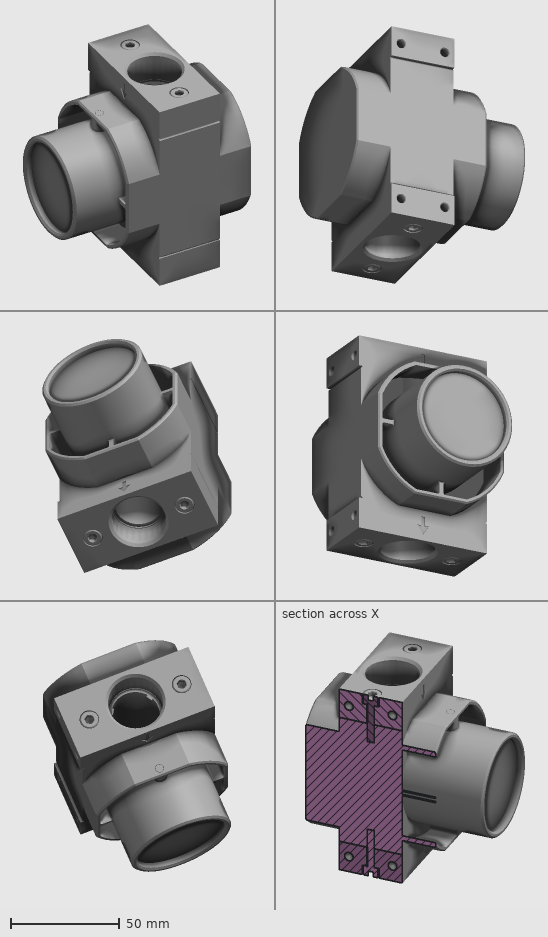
import cadquery as cq
import math

BODY_SIZE = 66.0
BODY_DIAMETER = 71.4
BLOCK_WIDTH = 32.0
BLOCK_CHAMFER = 1.0
EDGE_CHAMFER = 0.8
HALF = BODY_SIZE / 2
BLOCK_FACE = BLOCK_WIDTH / 2

WALL = 2.0
TUBE_DIAMETER = 39.0
RIB_WIDTH = 2.0
RIB_FILLET = 1.0

BOSS_DIAMETER = 7.3
PIN_DIAMETER = 3.8
PIN_HOLE_DIAMETER = 4.1
PIN_Y = -29.3

BORE_DIAMETER = 22.5
SEAL_DIAMETER = 34.0
SEAL_DEPTH = 1.0
TAB_COUNT = 3
TAB_WIDTH = 3.1
TAB_THICKNESS = 1.0
TAB_TIP_RADIUS = 10.3
TAB_FIRST_ANGLE = 30

TOTAL_HEIGHT = 96
FLANGE_OVERHANG = 1.1
FLANGE_THICKNESS = (TOTAL_HEIGHT - BODY_SIZE) / 2
FLANGE_LENGTH = BODY_SIZE + FLANGE_OVERHANG
FLANGE_CENTER_X = -FLANGE_OVERHANG / 2
TOP = TOTAL_HEIGHT / 2
PORT_CHAMFER_DIAMETER = 27.8
PORT_DIAMETER = 25.3
PORT_END_DIAMETER = 24.9
PORT_LIP_DIAMETER = 24.3
PORT_LIP_HEIGHT = 1.0
PORT_CHAMFER_DEPTH = (PORT_CHAMFER_DIAMETER - PORT_DIAMETER) / 2
SIDE_HOLE_DIAMETER = 4.1
SIDE_HOLE_MOUTH = 5.0
SIDE_HOLE_DEPTH = 9.6
SIDE_HOLE_Y = 11.0
SIDE_HOLE_Z = 39.9
ARROW_DEPTH = 0.5
ARROW_LENGTH = 8.9
ARROW_TOP_GAP = 3.2
ARROW_HEAD_LENGTH = 4.5
ARROW_HEAD_WIDTH = 6.0
ARROW_SHAFT_WIDTH = 1.8

SCREW_X = 23.0
SCREW_DIAMETER = 5.0
CLEARANCE_DIAMETER = 5.3
HEAD_DIAMETER = 8.5
HEAD_HEIGHT = 5.0
HEAD_CHAMFER = 0.5
COUNTERBORE_DIAMETER = 9.0
THREAD_LENGTH = 9.6
SOCKET_ACROSS_FLATS = 4.0
SOCKET_ACROSS_CORNERS = SOCKET_ACROSS_FLATS / math.cos(math.radians(30))
SOCKET_DEPTH = 2.5

BARREL_DIAMETER = 50.0
BARREL_PROJECTION = 23.3
BARREL_CHAMFER = 1.0
RIM_DIAMETER = 45.8
RECESS_DIAMETER = 44.0
RECESS_DEPTH = 3.5

DRILL_POINT_ANGLE = 118


def y_cylinder(diameter, y_from, y_to):
    """Cylinder about the Y axis."""
    return cq.Workplane("XZ", origin=(0, y_from, 0)).circle(diameter / 2).extrude(y_from - y_to)


def z_cylinder(diameter, z_from, z_to, x=0, y=0):
    """Cylinder parallel to the Z axis."""
    return cq.Workplane("XY", origin=(x, y, z_from)).circle(diameter / 2).extrude(z_to - z_from)


def flatted_round(size, diameter, y_from, y_to):
    """Round bar along Y with four flats."""
    square = cq.Workplane("XZ", origin=(0, y_from, 0)).rect(size, size).extrude(y_from - y_to)
    return square.intersect(y_cylinder(diameter, y_from, y_to))


def drill(diameter, depth):
    """Pointed drill entering along -Z from the origin."""
    radius = diameter / 2
    point = radius / math.tan(math.radians(DRILL_POINT_ANGLE / 2))
    profile = [(0, 0), (radius, 0), (radius, -depth), (0, -depth - point)]
    return cq.Workplane("XZ").polyline(profile).close().revolve(360, (0, 0), (0, 1))


def countersink(mouth_diameter, hole_diameter):
    """Cone at 45 degrees entering along -Z from the origin."""
    depth = (mouth_diameter - hole_diameter) / 2
    mouth = cq.Workplane("XY").circle(mouth_diameter / 2)
    return mouth.workplane(offset=-depth).circle(hole_diameter / 2).loft()


def mirrored_pair(shape):
    """A body and its reflection in the mid plane Z = 0."""
    return [shape, shape.mirror("XY")]


def make_pocket():
    """Space around the barrel, with ribs left to the sides and below."""
    side_ribs = cq.Workplane("XY").box(BODY_SIZE, BODY_SIZE, RIB_WIDTH)
    lower_rib = cq.Workplane("XY").box(RIB_WIDTH, BODY_SIZE, HALF).translate((0, 0, -HALF / 2))
    pocket = flatted_round(BODY_SIZE - 2 * WALL, BODY_DIAMETER - 2 * WALL, -HALF, -BLOCK_FACE)
    pocket = pocket.cut(y_cylinder(BARREL_DIAMETER, -HALF, -BLOCK_FACE))
    pocket = pocket.cut(side_ribs).cut(lower_rib)
    reach = BODY_SIZE
    beside_side_ribs = cq.selectors.BoxSelector((-reach, -reach, -RIB_WIDTH), (reach, reach, RIB_WIDTH))
    beside_lower_rib = cq.selectors.BoxSelector((-RIB_WIDTH, -reach, -reach), (RIB_WIDTH, reach, 0))
    pocket = pocket.edges("|Y").edges(beside_side_ribs + beside_lower_rib).fillet(RIB_FILLET)
    pocket = pocket.cut(z_cylinder(TUBE_DIAMETER, -HALF, HALF))
    return pocket.cut(z_cylinder(BOSS_DIAMETER, 0, HALF, y=PIN_Y))


def make_tabs():
    """Tabs reaching into the upper end of the flow bore."""
    length = BORE_DIAMETER / 2 + WALL - TAB_TIP_RADIUS
    tab = cq.Workplane("XY").box(length, TAB_WIDTH, TAB_THICKNESS, centered=(False, True, False))
    tab = tab.translate((TAB_TIP_RADIUS, 0, HALF - SEAL_DEPTH - TAB_THICKNESS))
    tabs = cq.Workplane("XY")
    for index in range(TAB_COUNT):
        angle = TAB_FIRST_ANGLE + index * 360 / TAB_COUNT
        tabs = tabs.union(tab.rotate((0, 0, 0), (0, 0, 1), angle))
    return tabs


def make_housing():
    """Flow block and flatted body with the front pocket, flow bore and screw holes."""
    body = flatted_round(BODY_SIZE, BODY_DIAMETER, HALF, -HALF)
    body = body.faces("<Y or >Y").chamfer(EDGE_CHAMFER)
    block = cq.Workplane("XY").box(BODY_SIZE, BLOCK_WIDTH, BODY_SIZE).edges("|Y").chamfer(BLOCK_CHAMFER)
    housing = body.union(block)
    housing = housing.cut(make_pocket())
    housing = housing.cut(y_cylinder(BARREL_DIAMETER, -HALF, -BLOCK_FACE))
    housing = housing.cut(z_cylinder(PIN_HOLE_DIAMETER, 0, HALF, y=PIN_Y))
    housing = housing.cut(z_cylinder(BORE_DIAMETER, -HALF, HALF))
    housing = housing.union(make_tabs())
    seal = z_cylinder(SEAL_DIAMETER, HALF - SEAL_DEPTH, HALF)
    for recess in mirrored_pair(seal):
        housing = housing.cut(recess)
    for x in (-SCREW_X, SCREW_X):
        for hole in mirrored_pair(z_cylinder(SCREW_DIAMETER, HALF - THREAD_LENGTH, HALF, x)):
            housing = housing.cut(hole)
    return housing


def make_barrel():
    """Round barrel seated on the pocket floor, with a recessed front face."""
    front = -HALF - BARREL_PROJECTION
    barrel = y_cylinder(BARREL_DIAMETER, -BLOCK_FACE, front).faces("<Y").chamfer(BARREL_CHAMFER)
    rim_radius = RIM_DIAMETER / 2
    recess_radius = RECESS_DIAMETER / 2
    slope_end = front + rim_radius - recess_radius
    floor = front + RECESS_DEPTH
    profile = [(0, front), (rim_radius, front), (recess_radius, slope_end), (recess_radius, floor), (0, floor)]
    recess = cq.Workplane("XY").polyline(profile).close().revolve(360, (0, 0), (0, 1))
    return barrel.cut(recess)


def make_pin():
    """Pin from the top flat down to the barrel."""
    pin = z_cylinder(PIN_DIAMETER, 0, HALF, y=PIN_Y)
    return pin.cut(y_cylinder(BARREL_DIAMETER, -HALF, -BLOCK_FACE))


def make_port():
    """Conical flange port with a chamfered mouth and a narrow lip at its inner end."""
    lip_top = HALF + PORT_LIP_HEIGHT
    profile = [
        (0, TOP),
        (PORT_CHAMFER_DIAMETER / 2, TOP),
        (PORT_DIAMETER / 2, TOP - PORT_CHAMFER_DEPTH),
        (PORT_END_DIAMETER / 2, lip_top),
        (PORT_LIP_DIAMETER / 2, lip_top),
        (PORT_LIP_DIAMETER / 2, HALF),
        (0, HALF),
    ]
    return cq.Workplane("XZ").polyline(profile).close().revolve(360, (0, 0), (0, 1))


def make_side_hole():
    """Blind hole with a chamfered mouth, entering along +X from the origin."""
    hole = drill(SIDE_HOLE_DIAMETER, SIDE_HOLE_DEPTH)
    hole = hole.union(countersink(SIDE_HOLE_MOUTH, SIDE_HOLE_DIAMETER))
    return hole.rotate((0, 0, 0), (0, 1, 0), -90)


def make_arrow(flange_top):
    """Arrow pointing along -Z, sunk into the front face of a flange."""
    arrow_top = flange_top - ARROW_TOP_GAP
    tip = arrow_top - ARROW_LENGTH
    shoulder = tip + ARROW_HEAD_LENGTH
    half_shaft = ARROW_SHAFT_WIDTH / 2
    half_head = ARROW_HEAD_WIDTH / 2
    outline = [
        (-half_shaft, arrow_top),
        (half_shaft, arrow_top),
        (half_shaft, shoulder),
        (half_head, shoulder),
        (0, tip),
        (-half_head, shoulder),
        (-half_shaft, shoulder),
    ]
    face = cq.Workplane("XZ", origin=(FLANGE_CENTER_X, -BLOCK_FACE, 0))
    return face.polyline(outline).close().extrude(-ARROW_DEPTH)


def make_plain_flange():
    """Upper flange without its arrow."""
    flange = cq.Workplane("XY").box(FLANGE_LENGTH, BLOCK_WIDTH, FLANGE_THICKNESS)
    flange = flange.translate((FLANGE_CENTER_X, 0, HALF + FLANGE_THICKNESS / 2))
    flange = flange.cut(make_port())
    for x in (-SCREW_X, SCREW_X):
        flange = flange.cut(z_cylinder(CLEARANCE_DIAMETER, HALF, TOP, x))
        flange = flange.cut(z_cylinder(COUNTERBORE_DIAMETER, TOP - HEAD_HEIGHT, TOP, x))
    for y in (-SIDE_HOLE_Y, SIDE_HOLE_Y):
        flange = flange.cut(make_side_hole().translate((-HALF - FLANGE_OVERHANG, y, SIDE_HOLE_Z)))
    return flange


def make_screw():
    """Socket head screw on the Z axis with its head flush with the top of the upper flange."""
    head_bottom = TOP - HEAD_HEIGHT
    head = z_cylinder(HEAD_DIAMETER, head_bottom, TOP).faces(">Z").chamfer(HEAD_CHAMFER)
    screw = head.union(z_cylinder(SCREW_DIAMETER, HALF - THREAD_LENGTH, head_bottom))
    socket = cq.Workplane("XY").polygon(6, SOCKET_ACROSS_FLATS, circumscribed=True).extrude(-SOCKET_DEPTH)
    socket = socket.union(countersink(SOCKET_ACROSS_CORNERS, SOCKET_ACROSS_FLATS))
    socket = socket.union(drill(SOCKET_ACROSS_FLATS, SOCKET_DEPTH))
    return screw.cut(socket.translate((0, 0, TOP)))


housing = make_housing()
barrel = make_barrel()
pin = make_pin()

upper_flange, lower_flange = mirrored_pair(make_plain_flange())
upper_flange = upper_flange.cut(make_arrow(TOP))
lower_flange = lower_flange.cut(make_arrow(-HALF))

screws = []
for x in (-SCREW_X, SCREW_X):
    screws += mirrored_pair(make_screw().translate((x, 0, 0)))

result = cq.Compound.makeCompound(
    [
        housing.val(),
        barrel.val(),
        pin.val(),
        upper_flange.val(),
        lower_flange.val(),
        *[screw.val() for screw in screws],
    ]
)